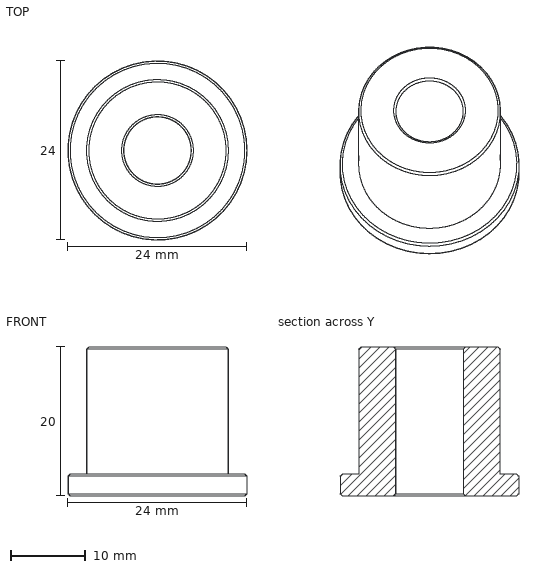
import cadquery as cq

flange_diameter = 24.0
flange_thickness = 3.0
total_height = 20.0
body_diameter = 19.0
bore_diameter = 9.0
edge_chamfer = 0.3


def chamfered_disc(diameter, height):
    """Disc on the XY plane with both rims chamfered."""
    disc = cq.Workplane("XY").circle(diameter / 2).extrude(height)
    return disc.faces("<Z or >Z").edges().chamfer(edge_chamfer)


def chamfered_body():
    """Cylinder through the full height, chamfered at its top rim."""
    body = cq.Workplane("XY").circle(body_diameter / 2).extrude(total_height)
    return body.faces(">Z").edges().chamfer(edge_chamfer)


def bore_cutter():
    """Through bore flaring out by the chamfer at both ends."""
    bore_radius = bore_diameter / 2
    mouth_radius = bore_radius + edge_chamfer
    return (
        cq.Workplane("XZ")
        .moveTo(0, 0)
        .lineTo(mouth_radius, 0)
        .lineTo(bore_radius, edge_chamfer)
        .lineTo(bore_radius, total_height - edge_chamfer)
        .lineTo(mouth_radius, total_height)
        .lineTo(0, total_height)
        .close()
        .revolve(360, (0, 0, 0), (0, 1, 0))
    )


flange = chamfered_disc(flange_diameter, flange_thickness)
result = flange.union(chamfered_body()).cut(bore_cutter())